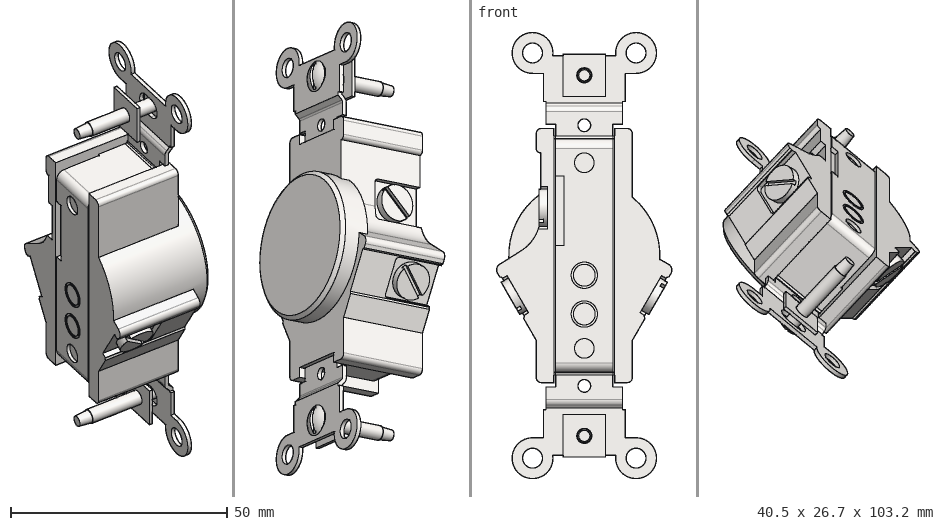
import cadquery as cq
import math


TOTAL_HEIGHT = 103.2
TOTAL_DEPTH = 26.7
FACE_Y = TOTAL_DEPTH / 2
BACK_Y = -TOTAL_DEPTH / 2
TILT = math.radians(30)

HOUSING_FRONT_Y = 8.7
HOUSING_HALF_HEIGHT = 29.4
WING_X = 11.1
WING_CORNER_RADIUS = 1.2

FACE_DIAMETER = 35.0
FACE_CHAMFER = 0.9
FACE_ROOT_Y = 6.3

SCOOP_FACE_X = 10.1
SCOOP_STEP_Z = 23.7
SCOOP_RADIUS = 9.7
SCOOP_START_Z = 9.3

TAB_CORNER_X = 20.8
TAB_CORNER_Z = -2.8
TAB_RADIUS = 1.5
LEDGE_START = 2.5
LEDGE_LENGTH = 11.1
LEDGE_DEPTH = 0.4

BLOCK_HALF_HEIGHT = 27.0
BLOCK_BACK_HALF_HEIGHT = 26.8
BLOCK_BACK_RADIUS = 2.1
BLOCK_FRONT_RADIUS = 0.6
CHANNEL_HALF_WIDTH = 7.0
GROOVE_WIDTH = 0.4
GROOVE_END_Y = -1.5
RIVET_DIAMETER = 4.5
RIVET_Z = 21.5
RIVET_DEPTH = 0.8
RING_OUTER_DIAMETER = 6.1
RING_INNER_DIAMETER = 5.1
RING_DEPTH = 0.2
RING_HEIGHTS = (-4.5, -13.5)
NOTCH_X = 4.7
NOTCH_TOP_Z = 18.4
NOTCH_BOTTOM_Z = 2.4
NOTCH_DEPTH = 1.0

TERMINAL_Y = -6.7
TERMINAL_Z = 11.0
POCKET_WIDTH = 9.9
POCKET_CLEARANCE = 4.1
UPPER_POCKET_DEPTH = 1.5
LOWER_POCKET_DEPTH = 1.2
POCKET_FRONT_Y = -0.8
POCKET_CORNER_RADIUS = 0.9
TERMINAL_HEAD_DIAMETER = 8.7
TERMINAL_HEAD_HEIGHT = 2.0
TERMINAL_SLOT_WIDTH = 1.0
TERMINAL_SLOT_DEPTH = 1.0
TERMINAL_SLOT_ANGLE = -45

STRAP_THICKNESS = 1.0
STRAP_OFFSET = 1.2
STRAP_BACK_Y = HOUSING_FRONT_Y - STRAP_OFFSET - STRAP_THICKNESS
BEND_OUTER_Z = 35.3
BEND_BACK_RADIUS = 1.8
BEND_ANGLE = 45
EAR_X = 12.0
EAR_RADIUS = 4.7
EAR_HOLE_DIAMETER = 4.5
EAR_Z = TOTAL_HEIGHT / 2 - EAR_RADIUS
STRAP_END_Z = 46.2
PLATE_HALF_WIDTH = 9.5
PLATE_INNER_Z = 35.6
SHOULDER_HALF_WIDTH = 8.9
SHOULDER_INNER_Z = 30.3
NECK_HALF_WIDTH = CHANNEL_HALF_WIDTH - GROOVE_WIDTH
STRAP_HOLE_DIAMETER = 2.9
STRAP_HOLE_Z = 30.1
SLOT_LENGTH = 7.3
SLOT_HEIGHT = 5.1

SCREW_Z = 41.7
SHANK_DIAMETER = 3.5
SHANK_END_Y = -8.8
TIP_ROOT_DIAMETER = 3.2
TIP_DIAMETER = 2.6
TIP_END_Y = -12.1
SCREW_HEAD_DIAMETER = 7.2
SCREW_HEAD_GAP = 0.2
SCREW_SEAT_Y = HOUSING_FRONT_Y + SCREW_HEAD_GAP
SCREW_HEAD_HEIGHT = 1.3
DRIVE_WIDTH = 0.9
DRIVE_DEPTH = 1.0
RETAINER_SIZE = 9.8
RETAINER_THICKNESS = 0.8
UPPER_RETAINER_Y = 1.8
LOWER_RETAINER_Y = 5.2

ENDS = (1, -1)
SIDES = (-1, 1)


def box_between(x0, x1, y0, y1, z0, z1):
    size = (x1 - x0, y1 - y0, z1 - z0)
    return cq.Workplane("XY").box(*size, centered=False).translate((x0, y0, z0))


def cylinder_y(diameter, y0, y1, x=0.0, z=0.0):
    plane = cq.Plane((x, y0, z), (1, 0, 0), (0, 1, 0))
    return cq.Workplane(plane).circle(diameter / 2).extrude(y1 - y0)


def round_edge(body, x, z, radius):
    """Round the edge along Y that passes through (x, z)."""
    middle = (x, (BACK_Y + HOUSING_FRONT_Y) / 2, z)
    return body.edges(cq.selectors.NearestToPointSelector(middle)).fillet(radius)


def tilted_face_point(side, distance, depth):
    """Point on the tilted terminal face: distance below the tab corner, depth into the housing."""
    x = TAB_CORNER_X - distance * math.sin(TILT) - depth * math.cos(TILT)
    z = TAB_CORNER_Z - distance * math.cos(TILT) + depth * math.sin(TILT)
    return (side * x, z)


def lower_outline_points(side):
    """Tab corner, shallow bevelled ledge, and the lower wing, from top to bottom."""
    ledge_end = LEDGE_START + LEDGE_LENGTH
    face_length = (TAB_CORNER_X - WING_X) / math.sin(TILT)
    return [
        (side * TAB_CORNER_X, TAB_CORNER_Z),
        tilted_face_point(side, LEDGE_START, 0),
        tilted_face_point(side, LEDGE_START + LEDGE_DEPTH, LEDGE_DEPTH),
        tilted_face_point(side, ledge_end - LEDGE_DEPTH, LEDGE_DEPTH),
        tilted_face_point(side, ledge_end, 0),
        tilted_face_point(side, face_length, 0),
        (side * WING_X, -HOUSING_HALF_HEIGHT),
        (0, -HOUSING_HALF_HEIGHT),
    ]


def start_outline():
    """XZ sketch on the back plane, started at the middle of the top edge."""
    plane = cq.Plane((0, BACK_Y, 0), (1, 0, 0), (0, -1, 0))
    return cq.Workplane(plane).moveTo(0, HOUSING_HALF_HEIGHT)


def make_left_half():
    """Half at -X, with the concave scoop above the tab."""
    arc_centre_x = -SCOOP_FACE_X - SCOOP_RADIUS
    turn = math.pi / 2 - TILT
    step = WING_X - SCOOP_FACE_X

    def scoop_point(angle):
        x = arc_centre_x + SCOOP_RADIUS * math.cos(angle)
        return (x, SCOOP_START_Z - SCOOP_RADIUS * math.sin(angle))

    outline = (
        start_outline()
        .lineTo(-WING_X, HOUSING_HALF_HEIGHT)
        .lineTo(-WING_X, SCOOP_STEP_Z + step)
        .radiusArc((-SCOOP_FACE_X, SCOOP_STEP_Z), -step)
        .lineTo(-SCOOP_FACE_X, SCOOP_START_Z)
        .threePointArc(scoop_point(turn / 2), scoop_point(turn))
    )
    for point in lower_outline_points(-1):
        outline = outline.lineTo(*point)
    return outline.close().extrude(BACK_Y - HOUSING_FRONT_Y)


def make_right_half():
    """Half at +X, where the round face continues down to the back."""
    shoulder_z = TAB_CORNER_Z + (TAB_CORNER_X - WING_X) * math.tan(TILT)
    outline = start_outline().lineTo(WING_X, HOUSING_HALF_HEIGHT).lineTo(WING_X, shoulder_z)
    for point in lower_outline_points(1):
        outline = outline.lineTo(*point)
    half = outline.close().extrude(BACK_Y - HOUSING_FRONT_Y)
    radius = FACE_DIAMETER / 2
    half_space = box_between(0, radius, BACK_Y, HOUSING_FRONT_Y, TAB_CORNER_Z, radius)
    drum = cylinder_y(FACE_DIAMETER, BACK_Y, HOUSING_FRONT_Y).intersect(half_space)
    return half.union(drum)


def make_shell():
    shell = make_left_half().union(make_right_half())
    for side in SIDES:
        shell = round_edge(shell, side * TAB_CORNER_X, TAB_CORNER_Z, TAB_RADIUS)
        for end in ENDS:
            shell = round_edge(shell, side * WING_X, end * HOUSING_HALF_HEIGHT, WING_CORNER_RADIUS)
    face = cylinder_y(FACE_DIAMETER, FACE_ROOT_Y, FACE_Y).faces(">Y").chamfer(FACE_CHAMFER)
    return shell.union(face)


def make_centre_space():
    """Everything between the wings."""
    return box_between(
        -CHANNEL_HALF_WIDTH, CHANNEL_HALF_WIDTH,
        BACK_Y, HOUSING_FRONT_Y,
        -HOUSING_HALF_HEIGHT, HOUSING_HALF_HEIGHT,
    )


def make_strap_round(end):
    """Concave round between a block end and the strap."""
    start_y = STRAP_BACK_Y - BLOCK_FRONT_RADIUS
    end_z = BLOCK_HALF_HEIGHT + BLOCK_FRONT_RADIUS
    diagonal = BLOCK_FRONT_RADIUS * math.sqrt(0.5)
    return (
        cq.Workplane("YZ")
        .workplane(offset=-CHANNEL_HALF_WIDTH)
        .moveTo(start_y, end * BLOCK_HALF_HEIGHT)
        .lineTo(STRAP_BACK_Y, end * BLOCK_HALF_HEIGHT)
        .lineTo(STRAP_BACK_Y, end * end_z)
        .threePointArc(
            (start_y + diagonal, end * (end_z - diagonal)),
            (start_y, end * BLOCK_HALF_HEIGHT),
        )
        .close()
        .extrude(2 * CHANNEL_HALF_WIDTH)
    )


def make_centre_block():
    """Block between the wings, slightly tapered toward the back, with rounded back edges."""
    block = (
        cq.Workplane("YZ")
        .workplane(offset=-CHANNEL_HALF_WIDTH)
        .moveTo(BACK_Y, -BLOCK_BACK_HALF_HEIGHT)
        .lineTo(STRAP_BACK_Y, -BLOCK_HALF_HEIGHT)
        .lineTo(HOUSING_FRONT_Y, -BLOCK_HALF_HEIGHT)
        .lineTo(HOUSING_FRONT_Y, BLOCK_HALF_HEIGHT)
        .lineTo(STRAP_BACK_Y, BLOCK_HALF_HEIGHT)
        .lineTo(BACK_Y, BLOCK_BACK_HALF_HEIGHT)
        .close()
        .extrude(2 * CHANNEL_HALF_WIDTH)
    )
    block = block.faces("<Y").edges("|X").fillet(BLOCK_BACK_RADIUS)
    for end in ENDS:
        block = block.union(make_strap_round(end))
    return block


def cut_block_details(block):
    """Side grooves, rivet recesses, ring grooves and the notch on the wiring side."""
    for side in SIDES:
        inner, outer = sorted((side * NECK_HALF_WIDTH, side * CHANNEL_HALF_WIDTH))
        block = block.cut(
            box_between(inner, outer, BACK_Y, GROOVE_END_Y, -BLOCK_HALF_HEIGHT, BLOCK_HALF_HEIGHT)
        )
    for end in ENDS:
        block = block.cut(
            cylinder_y(RIVET_DIAMETER, BACK_Y, BACK_Y + RIVET_DEPTH, z=end * RIVET_Z)
        )
    for height in RING_HEIGHTS:
        ring_end_y = BACK_Y + RING_DEPTH
        ring = cylinder_y(RING_OUTER_DIAMETER, BACK_Y, ring_end_y, z=height)
        ring = ring.cut(cylinder_y(RING_INNER_DIAMETER, BACK_Y, ring_end_y, z=height))
        block = block.cut(ring)
    notch = box_between(
        -CHANNEL_HALF_WIDTH, -NOTCH_X,
        BACK_Y, BACK_Y + NOTCH_DEPTH,
        NOTCH_BOTTOM_Z, NOTCH_TOP_Z,
    )
    return block.cut(notch)


def terminal_floors():
    """Planes on the pocket floors: normal outward, local x to the right seen from outside."""
    upper_x = UPPER_POCKET_DEPTH - SCOOP_FACE_X
    floors = [cq.Plane((upper_x, TERMINAL_Y, TERMINAL_Z), (0, -1, 0), (-1, 0, 0))]
    for side in SIDES:
        distance = LEDGE_START + LEDGE_LENGTH / 2
        x, z = tilted_face_point(side, distance, LEDGE_DEPTH + LOWER_POCKET_DEPTH)
        normal = (side * math.cos(TILT), 0, -math.sin(TILT))
        floors.append(cq.Plane((x, TERMINAL_Y, z), (0, side, 0), normal))
    return floors


def make_pocket_space(floor):
    """Space above a pocket floor, open toward the wiring side, with rounded inner corners."""
    toward_back = -floor.xDir.y
    length_y = POCKET_FRONT_Y - BACK_Y
    middle_y = (POCKET_FRONT_Y + BACK_Y) / 2
    pocket = (
        cq.Workplane(floor)
        .center(toward_back * (TERMINAL_Y - middle_y), 0)
        .rect(length_y, POCKET_WIDTH)
        .extrude(POCKET_CLEARANCE)
    )
    corners = pocket.faces(">Y").edges(cq.selectors.ParallelDirSelector(floor.zDir))
    return corners.fillet(POCKET_CORNER_RADIUS)


def make_terminal_head(floor):
    """Slotted round head standing on the pocket floor."""
    head = cq.Workplane(floor).circle(TERMINAL_HEAD_DIAMETER / 2).extrude(TERMINAL_HEAD_HEIGHT)
    slot = (
        cq.Workplane(floor)
        .workplane(offset=TERMINAL_HEAD_HEIGHT)
        .transformed(rotate=(0, 0, TERMINAL_SLOT_ANGLE))
        .rect(2 * TERMINAL_HEAD_DIAMETER, TERMINAL_SLOT_WIDTH)
        .extrude(-TERMINAL_SLOT_DEPTH)
    )
    return head.cut(slot)


def make_housing(strap):
    housing = make_shell().cut(make_centre_space())
    housing = housing.union(cut_block_details(make_centre_block()))
    for floor in terminal_floors():
        housing = housing.cut(make_pocket_space(floor)).union(make_terminal_head(floor))
    return housing.cut(strap)


def make_strap_profile():
    """Side profile of the bent strap, swept across its full width."""
    front = HOUSING_FRONT_Y
    recessed = front - STRAP_OFFSET
    bend_inner_z = BEND_OUTER_Z - STRAP_OFFSET / math.tan(math.radians(BEND_ANGLE))
    skin_shift = STRAP_THICKNESS * math.tan(math.radians(BEND_ANGLE / 2))
    end_z = TOTAL_HEIGHT / 2
    upper_front = [
        (recessed, bend_inner_z - skin_shift),
        (front, BEND_OUTER_Z - skin_shift),
        (front, end_z),
    ]
    upper_back = [
        (front - STRAP_THICKNESS, end_z),
        (front - STRAP_THICKNESS, BEND_OUTER_Z),
        (recessed - STRAP_THICKNESS, bend_inner_z),
    ]
    upper = upper_front + upper_back
    lower = [(y, -z) for y, z in reversed(upper)]
    half_width = EAR_X + EAR_RADIUS
    profile = (
        cq.Workplane("YZ")
        .workplane(offset=-half_width)
        .polyline(upper + lower)
        .close()
        .extrude(2 * half_width)
    )
    for end in ENDS:
        back_bend = (0, recessed - STRAP_THICKNESS, end * bend_inner_z)
        front_bend = (0, recessed, end * (bend_inner_z - skin_shift))
        profile = profile.edges(cq.selectors.NearestToPointSelector(back_bend)).fillet(BEND_BACK_RADIUS)
        profile = profile.edges(cq.selectors.NearestToPointSelector(front_bend)).fillet(
            BEND_BACK_RADIUS - STRAP_THICKNESS
        )
    return profile


def make_strap_outline():
    """Flat outline of the strap with ears, necks and holes, thick enough to hold every bend."""
    y0 = STRAP_BACK_Y
    y1 = HOUSING_FRONT_Y

    outline = box_between(
        -NECK_HALF_WIDTH, NECK_HALF_WIDTH, y0, y1, -SHOULDER_INNER_Z, SHOULDER_INNER_Z
    )
    for end in ENDS:
        for half_width, inner_z, outer_z in (
            (SHOULDER_HALF_WIDTH, SHOULDER_INNER_Z, PLATE_INNER_Z),
            (PLATE_HALF_WIDTH, PLATE_INNER_Z, STRAP_END_Z),
            (EAR_X, EAR_Z - EAR_RADIUS, STRAP_END_Z),
        ):
            low, high = sorted((end * inner_z, end * outer_z))
            outline = outline.union(box_between(-half_width, half_width, y0, y1, low, high))
        for side in SIDES:
            outline = outline.union(cylinder_y(2 * EAR_RADIUS, y0, y1, side * EAR_X, end * EAR_Z))
    for end in ENDS:
        for side in SIDES:
            outline = outline.cut(cylinder_y(EAR_HOLE_DIAMETER, y0, y1, side * EAR_X, end * EAR_Z))
        outline = outline.cut(cylinder_y(STRAP_HOLE_DIAMETER, y0, y1, z=end * STRAP_HOLE_Z))
        slot_plane = cq.Plane((0, y0, end * SCREW_Z), (1, 0, 0), (0, 1, 0))
        slot = cq.Workplane(slot_plane).slot2D(SLOT_LENGTH, SLOT_HEIGHT).extrude(y1 - y0)
        outline = outline.cut(slot)
    return outline


def make_strap():
    return make_strap_outline().intersect(make_strap_profile())


def make_mounting_screw(end):
    """Turned screw with a domed, slotted head just in front of the strap."""
    seat = SCREW_SEAT_Y
    head_radius = SCREW_HEAD_DIAMETER / 2
    dome_radius = (head_radius**2 + SCREW_HEAD_HEIGHT**2) / (2 * SCREW_HEAD_HEIGHT)
    dome_centre = seat + SCREW_HEAD_HEIGHT - dome_radius
    dome_angle = math.asin(head_radius / dome_radius) / 2
    dome_middle = (
        dome_radius * math.sin(dome_angle),
        dome_centre + dome_radius * math.cos(dome_angle),
    )
    screw = (
        cq.Workplane("XY")
        .moveTo(0, TIP_END_Y)
        .lineTo(TIP_DIAMETER / 2, TIP_END_Y)
        .lineTo(TIP_ROOT_DIAMETER / 2, SHANK_END_Y)
        .lineTo(SHANK_DIAMETER / 2, SHANK_END_Y)
        .lineTo(SHANK_DIAMETER / 2, seat)
        .lineTo(head_radius, seat)
        .threePointArc(dome_middle, (0, seat + SCREW_HEAD_HEIGHT))
        .close()
        .revolve(360, (0, 0, 0), (0, 1, 0))
    )
    drive_y = seat + SCREW_HEAD_HEIGHT - DRIVE_DEPTH
    half_width = DRIVE_WIDTH / 2
    top_y = seat + SCREW_HEAD_HEIGHT
    screw = screw.cut(
        box_between(-half_width, half_width, drive_y, top_y, -head_radius, head_radius)
    )
    return screw.translate((0, 0, end * SCREW_Z))


def make_retainer(end, middle_y):
    """Square washer around the shank of a mounting screw."""
    plate = cq.Workplane("XY").box(RETAINER_SIZE, RETAINER_THICKNESS, RETAINER_SIZE)
    half_thickness = RETAINER_THICKNESS / 2
    plate = plate.cut(cylinder_y(SHANK_DIAMETER, -half_thickness, half_thickness))
    return plate.translate((0, middle_y, end * SCREW_Z))


strap = make_strap()
housing = make_housing(strap)
screws = [make_mounting_screw(end) for end in ENDS]
retainers = [make_retainer(1, UPPER_RETAINER_Y), make_retainer(-1, LOWER_RETAINER_Y)]

result = cq.Compound.makeCompound(
    [housing.val(), strap.val()]
    + [screw.val() for screw in screws]
    + [retainer.val() for retainer in retainers]
)